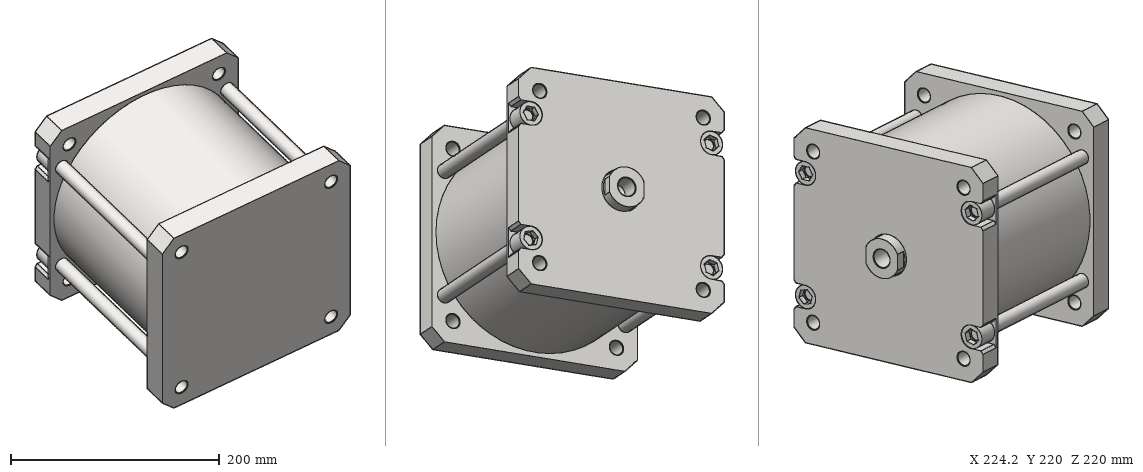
import cadquery as cq
import math

PLATE_SIDE = 220.0
PLATE_THICKNESS = 25.3
CORNER_CHAMFER = 13.5
MOUNT_HOLE_DIA = 14.0
MOUNT_HOLE_BEVEL = 0.7
MOUNT_HOLE_OFFSET = 87.5

TOTAL_LENGTH = 224.2
ROD_PROJECTION = 11.5
FRONT_FACE_X = ROD_PROJECTION
TUBE_START_X = FRONT_FACE_X + PLATE_THICKNESS
REAR_PLATE_X = TOTAL_LENGTH - PLATE_THICKNESS
TUBE_LENGTH = REAR_PLATE_X - TUBE_START_X

TUBE_DIA = 211.2

ROD_DIA = 40.1
ROD_BORE_DIA = 42.2
ROD_FLAT_WIDTH = 36.8
ROD_FLAT_LENGTH = 10.0
ROD_HOLE_DIA = 18.5
ROD_HOLE_BEVEL = 0.7
ROD_HOLE_DEPTH = 22.5
ROD_HOLE_TIP_ANGLE = 118.0

BOLT_Y = 96.7
BOLT_Z = 63.2
SHANK_DIA = 14.5
HEAD_DIA = 23.5
HEAD_RECESS = 0.5
SOCKET_WIDTH = 14.0
SOCKET_DEPTH = 6.7
SOCKET_RELIEF_DIA = 11.7
SOCKET_RELIEF_DEPTH = 1.1

POCKET_WIDTH = 24.0
POCKET_DEPTH = 22.0
MOUTH_BEVEL_Y = 2.5
MOUTH_BEVEL_Z = 3.1

HALF_SIDE = PLATE_SIDE / 2
BOLTS = [
    (BOLT_Y, BOLT_Z, 0),
    (BOLT_Y, -BOLT_Z, -15),
    (-BOLT_Y, BOLT_Z, 15),
    (-BOLT_Y, -BOLT_Z, 15),
]
BOLT_CENTERS = [(y, z) for y, z, turn in BOLTS]


def plane_at(x):
    """Y-Z plane at the given X, with local x along Y, local y along Z and normal along +X."""
    return cq.Workplane("YZ", origin=(x, 0, 0))


def make_plate(x):
    """Square plate with cut corners and four mounting holes, starting at the given X."""
    plate = plane_at(x).rect(PLATE_SIDE, PLATE_SIDE).extrude(PLATE_THICKNESS)
    plate = plate.edges("|X").chamfer(CORNER_CHAMFER)
    hole_spacing = 2 * MOUNT_HOLE_OFFSET
    plate = (
        plate.faces("<X")
        .workplane(origin=(x, 0, 0))
        .rect(hole_spacing, hole_spacing, forConstruction=True)
        .vertices()
        .hole(MOUNT_HOLE_DIA)
    )
    return plate.edges("%CIRCLE").chamfer(MOUNT_HOLE_BEVEL)


def make_head_pocket(y, z):
    """Round-ended pocket open to the nearer Y side, with a bevelled mouth."""
    side = math.copysign(1, y)
    radius = POCKET_WIDTH / 2
    edge_y = side * HALF_SIDE
    bevel_y = side * (HALF_SIDE - MOUTH_BEVEL_Y)
    return (
        plane_at(FRONT_FACE_X)
        .moveTo(y, z + radius)
        .lineTo(bevel_y, z + radius)
        .lineTo(edge_y, z + radius + MOUTH_BEVEL_Z)
        .lineTo(edge_y, z - radius - MOUTH_BEVEL_Z)
        .lineTo(bevel_y, z - radius)
        .lineTo(y, z - radius)
        .threePointArc((y - side * radius, z), (y, z + radius))
        .close()
        .extrude(POCKET_DEPTH)
    )


def make_front_plate():
    """Plate with the piston rod bore, the bolt head pockets and the shank holes."""
    plate = make_plate(FRONT_FACE_X)
    plate = plate.cut(plane_at(FRONT_FACE_X).circle(ROD_BORE_DIA / 2).extrude(PLATE_THICKNESS))
    for y, z in BOLT_CENTERS:
        plate = plate.cut(make_head_pocket(y, z))
    shank_holes = plane_at(FRONT_FACE_X).pushPoints(BOLT_CENTERS).circle(SHANK_DIA / 2)
    return plate.cut(shank_holes.extrude(PLATE_THICKNESS))


def make_rear_plate():
    """Plain plate that the bolts end against."""
    return make_plate(REAR_PLATE_X)


def make_tube():
    """Cylinder body clamped between the plates."""
    return plane_at(TUBE_START_X).circle(TUBE_DIA / 2).extrude(TUBE_LENGTH)


def make_piston_rod():
    """Round rod with two wrench flats and a drilled hole in its free end."""
    rod = plane_at(0).circle(ROD_DIA / 2).extrude(TUBE_START_X)
    flats = (
        plane_at(0)
        .rect(2 * ROD_DIA, 2 * ROD_DIA)
        .rect(ROD_FLAT_WIDTH, 2 * ROD_DIA)
        .extrude(ROD_FLAT_LENGTH)
    )
    hole_radius = ROD_HOLE_DIA / 2
    tip_length = hole_radius / math.tan(math.radians(ROD_HOLE_TIP_ANGLE / 2))
    hole = (
        cq.Workplane("XY")
        .lineTo(0, hole_radius + ROD_HOLE_BEVEL)
        .lineTo(ROD_HOLE_BEVEL, hole_radius)
        .lineTo(ROD_HOLE_DEPTH, hole_radius)
        .lineTo(ROD_HOLE_DEPTH + tip_length, 0)
        .close()
        .revolve(360, (0, 0, 0), (1, 0, 0))
    )
    return rod.cut(flats).cut(hole)


def make_tie_bolt(y, z, socket_turn):
    """Socket head bolt that runs to the rear plate, with a shallow relief in its socket floor."""
    head_x = FRONT_FACE_X + HEAD_RECESS
    shank_x = FRONT_FACE_X + POCKET_DEPTH
    head = plane_at(head_x).center(y, z).circle(HEAD_DIA / 2).extrude(shank_x - head_x)
    shank = plane_at(shank_x).center(y, z).circle(SHANK_DIA / 2).extrude(REAR_PLATE_X - shank_x)
    hex_corner_dia = SOCKET_WIDTH / math.cos(math.pi / 6)
    socket = (
        plane_at(head_x)
        .center(y, z)
        .transformed(rotate=(0, 0, socket_turn))
        .polygon(6, hex_corner_dia)
        .extrude(SOCKET_DEPTH)
    )
    relief = plane_at(head_x + SOCKET_DEPTH).center(y, z).circle(SOCKET_RELIEF_DIA / 2)
    relief = relief.extrude(SOCKET_RELIEF_DEPTH)
    return head.union(shank).cut(socket).cut(relief)


front_plate = make_front_plate()
rear_plate = make_rear_plate()
tube = make_tube()
piston_rod = make_piston_rod()
tie_bolts = [make_tie_bolt(y, z, turn) for y, z, turn in BOLTS]

result = cq.Compound.makeCompound(
    [
        front_plate.val(),
        rear_plate.val(),
        tube.val(),
        piston_rod.val(),
        *[bolt.val() for bolt in tie_bolts],
    ]
)